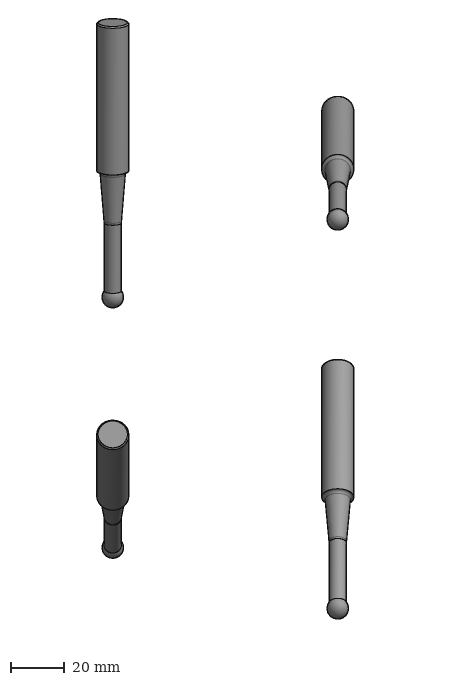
import cadquery as cq
import math

TOTAL_LENGTH = 110.0

SHANK_RADIUS = 12.0 / 2
SHANK_BOTTOM = 52.8
TOP_CHAMFER = 0.5
SHOULDER_FILLET = 1.2
NECK_TOP_RADIUS = 4.7
NECK_TOP = SHANK_BOTTOM - SHOULDER_FILLET
NECK_BOTTOM = 33.4
COLLAR_RADIUS = 6.6 / 2
HOLDER_BOTTOM = 32.7

STEM_RADIUS = 6.5 / 2
BALL_RADIUS = 8.0 / 2


def revolve_profile(profile):
    """Turn a closed (radius, Z) outline around the Z axis."""
    return profile.close().revolve(360, (0, 0, 0), (0, 1, 0))


def make_holder():
    fillet_center_radius = NECK_TOP_RADIUS + SHOULDER_FILLET
    diagonal = SHOULDER_FILLET * math.sqrt(0.5)
    fillet_middle = (fillet_center_radius - diagonal, NECK_TOP + diagonal)
    outline = (
        cq.Workplane("XZ")
        .moveTo(0, HOLDER_BOTTOM)
        .lineTo(COLLAR_RADIUS, HOLDER_BOTTOM)
        .lineTo(COLLAR_RADIUS, NECK_BOTTOM)
        .lineTo(NECK_TOP_RADIUS, NECK_TOP)
        .threePointArc(fillet_middle, (fillet_center_radius, SHANK_BOTTOM))
        .lineTo(SHANK_RADIUS, SHANK_BOTTOM)
        .lineTo(SHANK_RADIUS, TOTAL_LENGTH - TOP_CHAMFER)
        .lineTo(SHANK_RADIUS - TOP_CHAMFER, TOTAL_LENGTH)
        .lineTo(0, TOTAL_LENGTH)
    )
    return revolve_profile(outline)


def make_ball_tip():
    ball_center = BALL_RADIUS
    ball_top = ball_center + math.sqrt(BALL_RADIUS**2 - STEM_RADIUS**2)
    outline = (
        cq.Workplane("XZ")
        .moveTo(0, 0)
        .threePointArc((BALL_RADIUS, ball_center), (STEM_RADIUS, ball_top))
        .lineTo(STEM_RADIUS, HOLDER_BOTTOM)
        .lineTo(0, HOLDER_BOTTOM)
    )
    return revolve_profile(outline)


holder = make_holder()
ball_tip = make_ball_tip()

result = cq.Compound.makeCompound([holder.val(), ball_tip.val()])